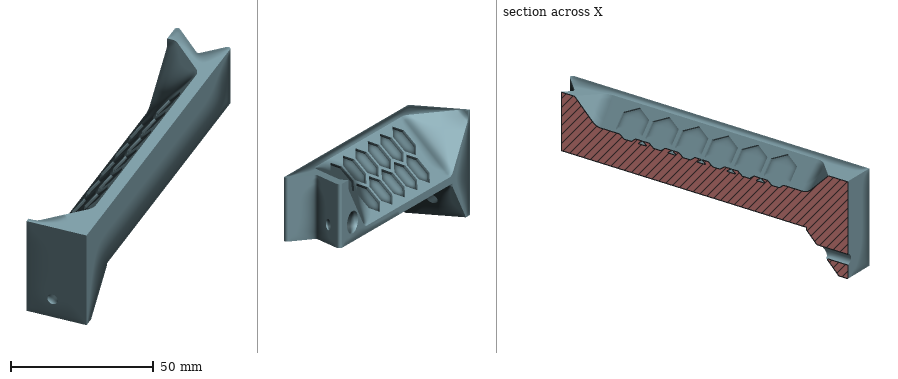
import math

import cadquery as cq

width = 23.0
height = 23.0
tip_y = 132.84
tip_radius = 1.0

prong_offset = 4.0
root_radius = 1.0

foot_drop = 15.0
foot_land = 4.0
foot_step = 1.0

foot_hole_diameter = 4.0
foot_hole_x = 10.0
foot_hole_z = -7.5

bore_y = 120.95
bore_z = 7.0
bore_diameter = 8.0
bore_wall = 2.65
bore_hole_diameter = 4.0

recess_center_y = 63.45
floor_low_z = 2.8
floor_top_x = 18.45
recess_length = 123.5
end_wall_reach = 42.05
floor_radius = 6.4
cap_radius = 2.0

hex_flats = 11.3
hex_pitch = 12.82
hex_depth = 1.0
hex_rows = ((6, 1), (5, -1))
hex_mid_share = 0.507

margin = 10.0

floor_rise = height - floor_low_z
floor_slope = floor_rise / floor_top_x


def make_bar():
    """Bar with a V-notched rear end and rounded prong tips."""
    tip_trim = tip_radius * math.sqrt(2)
    long_apex_y = tip_y + tip_trim
    short_apex_y = long_apex_y - prong_offset
    root_x = (width + prong_offset) / 2
    root_y = long_apex_y - root_x
    outline = [
        (0, 0),
        (width, 0),
        (width, short_apex_y),
        (root_x, root_y),
        (0, long_apex_y),
    ]
    bar = cq.Workplane("XY").polyline(outline).close().extrude(height)
    prong_edges = cq.selectors.BoxSelector(
        (-margin, short_apex_y - tip_radius, 0),
        (width + margin, long_apex_y + tip_radius, height),
    )
    bar = bar.edges("|Z").edges(prong_edges).fillet(tip_radius)
    root_point = (root_x, root_y, height / 2)
    return bar.edges("|Z").edges(cq.NearestToPointSelector(root_point)).fillet(root_radius)


def make_foot():
    """Foot under the front end, with a 45 degree rear face."""
    foot_length = foot_land + foot_drop - foot_step
    joint_z = height / 2
    outline = [
        (0, joint_z),
        (0, -foot_drop),
        (foot_land, -foot_drop),
        (foot_length, -foot_step),
        (foot_length, joint_z),
    ]
    return cq.Workplane("YZ").polyline(outline).close().extrude(width)


def make_foot_hole():
    """Through hole along Y in the foot."""
    plane = cq.Plane(origin=(foot_hole_x, 0, foot_hole_z), xDir=(1, 0, 0), normal=(0, 1, 0))
    return cq.Workplane(plane).circle(foot_hole_diameter / 2).extrude(foot_land + foot_drop)


def make_flank_hole():
    """Counterbored hole that starts on the X = 0 face and leaves through the notch flank."""
    flank_distance = (tip_y - bore_y) / math.sqrt(2) + tip_radius
    plane = cq.Plane(origin=(0, bore_y, bore_z), xDir=(0, 0, 1), normal=(1, 1, 0))
    start = cq.Workplane(plane).workplane(offset=-margin)
    bore = start.circle(bore_diameter / 2).extrude(margin + flank_distance - bore_wall)
    hole = start.circle(bore_hole_diameter / 2).extrude(margin + flank_distance + margin)
    return bore.union(hole)


def make_recess():
    """Wedge over the sloped floor, closed by slanted end walls and upright caps."""
    low_z = floor_low_z - margin * floor_slope
    top_x = floor_top_x + margin / floor_slope
    wedge = [(-margin, low_z), (top_x, height + margin), (-margin, height + margin)]
    recess = (
        cq.Workplane("XZ", origin=(0, recess_center_y + recess_length / 2, 0))
        .polyline(wedge)
        .close()
        .extrude(recess_length)
    )
    for side in (-1, 1):
        wall_plane = cq.Plane(
            origin=(0, recess_center_y + side * end_wall_reach, 0),
            xDir=(1, 0, 1),
            normal=(1, side, -1),
        )
        wall_sheet = cq.Workplane(wall_plane).rect(2 * recess_length, 2 * recess_length)
        beyond_wall = wall_sheet.extrude(recess_length)
        recess = recess.cut(beyond_wall)

    cap_lift = recess_length / 2 - end_wall_reach
    cap_mid_x = (height - cap_lift) / 2
    floor_mid_x = floor_top_x / 2
    floor_mid_z = (floor_low_z + height) / 2
    corner_offset = end_wall_reach + floor_mid_z - floor_mid_x
    for side in (-1, 1):
        corner = (floor_mid_x, recess_center_y + side * corner_offset, floor_mid_z)
        recess = recess.edges(cq.NearestToPointSelector(corner)).fillet(floor_radius)
        cap_edge = (cap_mid_x, recess_center_y + side * recess_length / 2, cap_mid_x + cap_lift)
        recess = recess.edges(cq.NearestToPointSelector(cap_edge)).fillet(cap_radius)
    return recess


def make_hex_pockets():
    """Two staggered rows of hexagons sunk square to the recess floor."""
    origin = (
        hex_mid_share * floor_top_x,
        recess_center_y,
        floor_low_z + hex_mid_share * floor_rise,
    )
    plane = cq.Plane(origin=origin, xDir=(0, -1, 0), normal=(-floor_rise, 0, floor_top_x))
    row_pitch = hex_pitch * math.sqrt(3) / 2
    corner_radius = hex_flats / math.sqrt(3)
    corner_angles = [math.pi / 6 + index * math.pi / 3 for index in range(6)]
    corners = [(corner_radius * math.cos(a), corner_radius * math.sin(a)) for a in corner_angles]
    pockets = cq.Workplane(plane)
    for count, side in hex_rows:
        for index in range(count):
            along = (index - (count - 1) / 2) * hex_pitch
            center = cq.Workplane(plane).center(along, side * row_pitch / 2)
            pockets = pockets.add(center.polyline(corners).close().extrude(-hex_depth))
    return pockets.combine()


result = (
    make_bar()
    .union(make_foot())
    .cut(make_recess())
    .cut(make_hex_pockets())
    .cut(make_foot_hole())
    .cut(make_flank_hole())
)